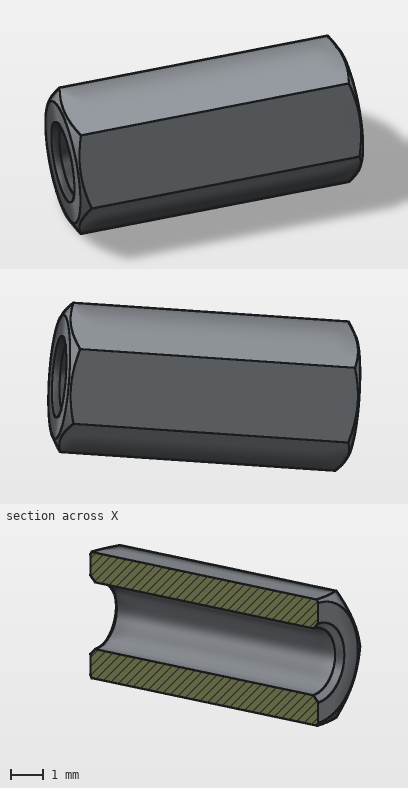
import cadquery as cq
import math

sides = 6
across_flats = 4.0
length = 9.0
bore_diameter = 2.1
countersink_diameter = 2.5
countersink_angle = 45.0
end_face_diameter = 3.8
corner_chamfer_angle = 30.0

across_corners = across_flats / math.cos(math.pi / sides)
half_length = length / 2


def hex_bar():
    """Hexagonal bar with corners on +X and -X and flats on +Z and -Z."""
    return cq.Workplane("XZ").polygon(sides, across_corners).extrude(half_length, both=True)


def chamfer_envelope():
    """Round bar with conical ends, used to trim the hexagon corners."""
    end_radius = end_face_diameter / 2
    outer_radius = across_corners
    cone_depth = (outer_radius - end_radius) * math.tan(math.radians(corner_chamfer_angle))
    shoulder = half_length - cone_depth
    return (
        cq.Workplane("XY")
        .moveTo(0, -half_length)
        .lineTo(end_radius, -half_length)
        .lineTo(outer_radius, -shoulder)
        .lineTo(outer_radius, shoulder)
        .lineTo(end_radius, half_length)
        .lineTo(0, half_length)
        .close()
        .revolve(360, (0, 0, 0), (0, 1, 0))
    )


def countersunk_bore():
    """Through bore with a conical countersink at both ends."""
    bore_radius = bore_diameter / 2
    mouth_radius = countersink_diameter / 2
    countersink_depth = (mouth_radius - bore_radius) / math.tan(math.radians(countersink_angle))
    bore_end = half_length - countersink_depth
    return (
        cq.Workplane("XY")
        .moveTo(0, -half_length)
        .lineTo(mouth_radius, -half_length)
        .lineTo(bore_radius, -bore_end)
        .lineTo(bore_radius, bore_end)
        .lineTo(mouth_radius, half_length)
        .lineTo(0, half_length)
        .close()
        .revolve(360, (0, 0, 0), (0, 1, 0))
    )


result = hex_bar().intersect(chamfer_envelope()).cut(countersunk_bore())